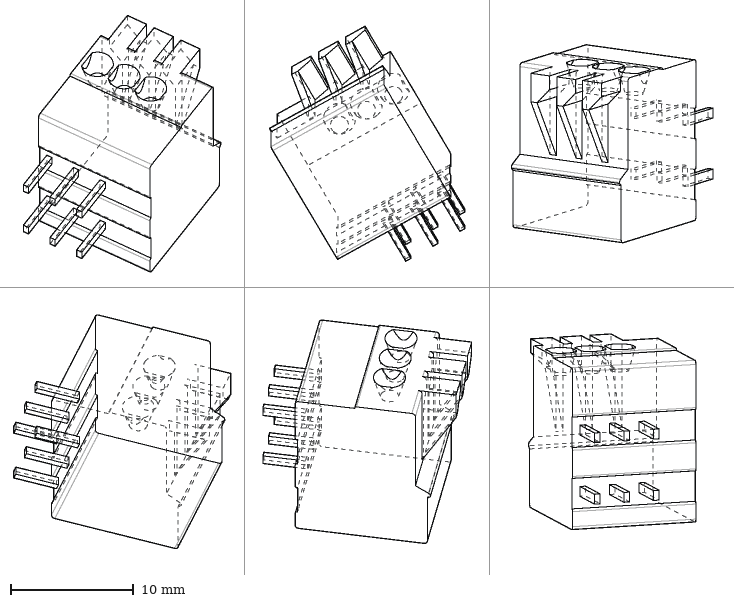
import cadquery as cq
import math


width = 10.63
height = 13.6
upper_depth = 9.98
lower_depth = 10.97
corner_radius = 0.3

top_step_drop = 0.18
top_step_y = 4.94
top_step_radius = 0.15

ridge_depth = 11.21
ridge_root_top_z = 6.0
ridge_tip_top_z = 5.28
ridge_tip_bottom_z = 5.04
ridge_root_bottom_z = 4.82

pole_count = 3
pole_pitch = 2.55

pin_width = 0.49
pin_height = 0.82
pin_reach = 3.5
pin_root = 0.82
first_pin_x = 0.93
pin_row_pitch = 5.09
lower_pin_z = 3.15
pin_rows_z = [lower_pin_z, lower_pin_z + pin_row_pitch]
band_height = 2.53
band_depth = 0.2
band_offset = 0.15

lever_left = 0.73
lever_width = 1.83
lever_front_y = 8.85
lever_rear_y = 12.8
lever_side_height = 1.15
rib_width = 0.6
lever_taper = lever_width - rib_width
rib_foot_z = 6.32

first_funnel_x = 1.35
funnel_y = 7.04
funnel_top_radius = 1.3
funnel_floor_radius = 0.73
funnel_depth = 1.95
funnel_left = 0.35
funnel_right = lever_left + lever_width


def box(x_min, x_max, y_min, y_max, z_min, z_max):
    size = (x_max - x_min, y_max - y_min, z_max - z_min)
    return cq.Workplane().box(*size, centered=False).translate((x_min, y_min, z_min))


def edges_at(solid, y, z):
    """Select the X-parallel edge at a corner of the housing profile."""
    tolerance = 0.02
    selector = cq.selectors.BoxSelector(
        (0, y - tolerance, z - tolerance),
        (width, y + tolerance, z + tolerance),
    )
    return solid.edges("|X").edges(selector)


def make_housing():
    front_top = height - top_step_drop
    profile = [
        (0, 0),
        (lower_depth, 0),
        (lower_depth, ridge_root_bottom_z),
        (ridge_depth, ridge_tip_bottom_z),
        (ridge_depth, ridge_tip_top_z),
        (upper_depth, ridge_root_top_z),
        (upper_depth, height),
        (top_step_y, height),
        (top_step_y, front_top),
        (0, front_top),
    ]
    housing = cq.Workplane("YZ").polyline(profile).close().extrude(width)
    rounded_corners = [
        (0, 0),
        (lower_depth, 0),
        (ridge_depth, ridge_tip_top_z),
        (upper_depth, height),
        (0, front_top),
    ]
    for y, z in rounded_corners:
        housing = edges_at(housing, y, z).fillet(corner_radius)
    return edges_at(housing, top_step_y, height).fillet(top_step_radius)


def make_relief_band(pin_z):
    """Shallow band across the front face whose long edges roll over to the face."""
    bottom = pin_z - band_offset - band_height / 2
    top = bottom + band_height
    mid_arc = band_depth * math.sin(math.radians(45))
    return (
        cq.Workplane("YZ")
        .moveTo(band_depth, bottom)
        .lineTo(band_depth, top)
        .threePointArc((band_depth - mid_arc, top + band_depth - mid_arc), (0, top + band_depth))
        .lineTo(0, bottom - band_depth)
        .threePointArc((band_depth - mid_arc, bottom - band_depth + mid_arc), (band_depth, bottom))
        .close()
        .extrude(width)
    )


def make_pin(x, z):
    return box(
        x - pin_width / 2, x + pin_width / 2,
        -pin_reach, band_depth + pin_root,
        z - pin_height / 2, z + pin_height / 2,
    )


def make_lever(offset):
    """Lever head with a sloped underside, carried by a triangular rib along its right side."""
    left = lever_left + offset
    right = left + lever_width
    rib_left = right - rib_width
    side_z = height - lever_side_height
    rib_top_z = side_z - lever_taper
    head = (
        cq.Workplane("XZ", origin=(0, lever_rear_y, 0))
        .polyline([(left, height), (right, height), (right, rib_top_z), (rib_left, rib_top_z), (left, side_z)])
        .close()
        .extrude(lever_rear_y - lever_front_y)
    )
    rib = (
        cq.Workplane("YZ", origin=(rib_left, 0, 0))
        .polyline([
            (lever_front_y, rib_top_z),
            (lever_rear_y, rib_top_z),
            (upper_depth, rib_foot_z),
            (lever_front_y, rib_foot_z),
        ])
        .close()
        .extrude(rib_width)
    )
    return head.union(rib)


def make_funnel(offset):
    cone = cq.Workplane(cq.Solid.makeCone(
        funnel_top_radius, funnel_floor_radius, funnel_depth,
        pnt=cq.Vector(first_funnel_x + offset, funnel_y, height),
        dir=cq.Vector(0, 0, -1),
    ))
    flats = box(
        funnel_left + offset, funnel_right + offset,
        funnel_y - funnel_top_radius, funnel_y + funnel_top_radius,
        height - funnel_depth, height,
    )
    return cone.intersect(flats)


result = make_housing()
for row_z in pin_rows_z:
    result = result.cut(make_relief_band(row_z))
for pole in range(pole_count):
    pole_offset = pole * pole_pitch
    result = result.union(make_lever(pole_offset))
    result = result.cut(make_funnel(pole_offset))
    for row_z in pin_rows_z:
        result = result.union(make_pin(first_pin_x + pole_offset, row_z))